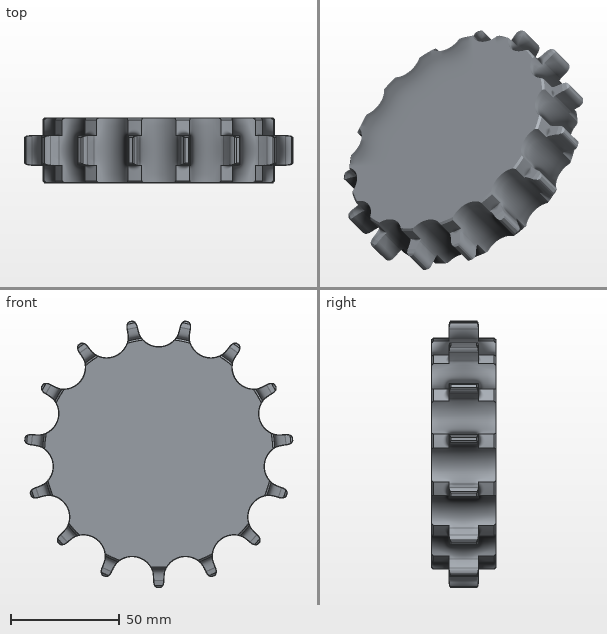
import cadquery as cq
import math

tooth_count = 15
pitch_angle = 360 / tooth_count
first_tooth_angle = -90

body_width = 30
body_radius = 53.72
body_chamfer = 0.9

gap_radius = 10.06
gap_center_radius = 59.25

tip_radius = 62.28
tip_half_width = 0.8
tip_chamfer_height = 0.45
tip_chamfer_width = 0.7
flank_start = 54.8
flank_end = 59.3
flank_end_half_width = 2.4
round_end = tip_radius - tip_chamfer_height
round_end_half_width = tip_half_width + tip_chamfer_width

tooth_width = 13.8
taper_start_radius = 59.0
taper_inset = 0.3
end_chamfer_height = 1.0
end_chamfer_inset = 0.65
rim_allowance = 1.0


def place(along, across, tooth_angle):
    """Turn a point given along and across a tooth into wheel coordinates (X, Z)."""
    angle = math.radians(tooth_angle)
    x = along * math.cos(angle) - across * math.sin(angle)
    z = along * math.sin(angle) + across * math.cos(angle)
    return (x, z)


def arc_middle(along, half_width):
    """Middle point of an arc that meets the flank end parallel to the tooth."""
    length = along - flank_end
    offset = half_width - flank_end_half_width
    radius = (length**2 + offset**2) / (2 * abs(offset))
    middle_offset = radius - math.sqrt(radius**2 - (length / 2) ** 2)
    return (flank_end + length / 2, flank_end_half_width + math.copysign(middle_offset, offset))


def gap_edge_half_width(along):
    """Half width of the tooth where the round gap bounds it."""
    half_pitch = math.radians(pitch_angle / 2)
    center_along = gap_center_radius * math.cos(half_pitch)
    center_across = gap_center_radius * math.sin(half_pitch)
    return center_across - math.sqrt(gap_radius**2 - (along - center_along) ** 2)


def wheel_outline():
    """Closed outline of all teeth and gaps, on the XZ plane, through the full width."""
    flank_start_half_width = gap_edge_half_width(flank_start)
    flank_middle = arc_middle(flank_start, flank_start_half_width)
    round_middle = arc_middle(round_end, round_end_half_width)
    gap_bottom = gap_center_radius - gap_radius

    def at(point, side, angle):
        return place(point[0], side * point[1], angle)

    root = (flank_start, flank_start_half_width)
    shoulder = (flank_end, flank_end_half_width)
    rounded = (round_end, round_end_half_width)
    tip = (tip_radius, tip_half_width)

    outline = cq.Workplane("XZ", origin=(0, body_width / 2, 0))
    outline = outline.moveTo(*at(root, -1, first_tooth_angle))
    for index in range(tooth_count):
        angle = first_tooth_angle + index * pitch_angle
        outline = outline.threePointArc(at(flank_middle, -1, angle), at(shoulder, -1, angle))
        outline = outline.threePointArc(at(round_middle, -1, angle), at(rounded, -1, angle))
        outline = outline.lineTo(*at(tip, -1, angle))
        outline = outline.lineTo(*at(tip, 1, angle))
        outline = outline.lineTo(*at(rounded, 1, angle))
        outline = outline.threePointArc(at(round_middle, 1, angle), at(shoulder, 1, angle))
        outline = outline.threePointArc(at(flank_middle, 1, angle), at(root, 1, angle))
        gap_middle = place(gap_bottom, 0, angle + pitch_angle / 2)
        outline = outline.threePointArc(gap_middle, at(root, -1, angle + pitch_angle))
    return outline.close().extrude(body_width)


def turned_blank():
    """Disc with a narrower raised rim, turned about Y, that the teeth are cut from."""
    half_body = body_width / 2
    half_tooth = tooth_width / 2
    rim_radius = tip_radius + rim_allowance
    taper_end = half_tooth - taper_inset
    taper_end_radius = tip_radius - end_chamfer_height
    chamfer_slope = end_chamfer_inset / end_chamfer_height
    rim_half_width = taper_end - chamfer_slope * (rim_radius - taper_end_radius)
    half_profile = [
        (body_radius - body_chamfer, half_body),
        (body_radius, half_body - body_chamfer),
        (body_radius, half_tooth),
        (taper_start_radius, half_tooth),
        (taper_end_radius, taper_end),
        (rim_radius, rim_half_width),
    ]
    mirrored = [(radius, -y) for radius, y in reversed(half_profile)]
    profile = [(0, half_body)] + half_profile + mirrored + [(0, -half_body)]
    return cq.Workplane("XY").polyline(profile).close().revolve(360, (0, 0, 0), (0, 1, 0))


result = turned_blank().intersect(wheel_outline())